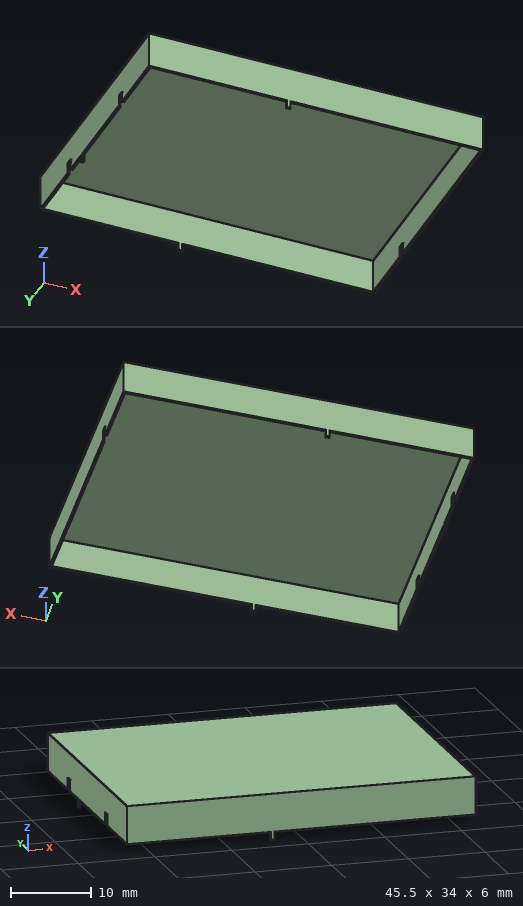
import cadquery as cq

LENGTH = 45.5
WIDTH = 34.0
HEIGHT = 5.0
WALL = 0.25

PIN_WIDTH = 0.5
PIN_LENGTH = 1.0
SIDE_PIN_X = -3.75
END_PIN_Y = 4.0

NOTCH_WIDTH = 1.0
NOTCH_HEIGHT = 1.5
NOTCH_OFFSET = 8.0

END_WALL_X = (LENGTH - WALL) / 2
SIDE_WALL_Y = (WIDTH - WALL) / 2


def make_can():
    outer = cq.Workplane("XY").box(LENGTH, WIDTH, HEIGHT, centered=(True, True, False))
    cavity = cq.Workplane("XY").box(
        LENGTH - 2 * WALL,
        WIDTH - 2 * WALL,
        HEIGHT - WALL,
        centered=(True, True, False),
    )
    return outer.cut(cavity)


def make_notch(x, y):
    """Cutter for a rectangular notch that opens at the rim of an end wall."""
    return (
        cq.Workplane("XY")
        .box(2 * WALL, NOTCH_WIDTH, NOTCH_HEIGHT, centered=(True, True, False))
        .translate((x, y, 0))
    )


def make_pin(x, y, size_x, size_y):
    """Pin in line with its wall, reaching a little above the rim to join the sheet."""
    return (
        cq.Workplane("XY")
        .box(size_x, size_y, PIN_LENGTH + WALL, centered=(True, True, False))
        .translate((x, y, -PIN_LENGTH))
    )


result = make_can()

notch_places = [
    (-END_WALL_X, NOTCH_OFFSET),
    (-END_WALL_X, -NOTCH_OFFSET),
    (END_WALL_X, NOTCH_OFFSET),
]
for notch_x, notch_y in notch_places:
    result = result.cut(make_notch(notch_x, notch_y))

for side in (-1, 1):
    result = result.union(make_pin(SIDE_PIN_X, side * SIDE_WALL_Y, PIN_WIDTH, WALL))
result = result.union(make_pin(-END_WALL_X, END_PIN_Y, WALL, PIN_WIDTH))